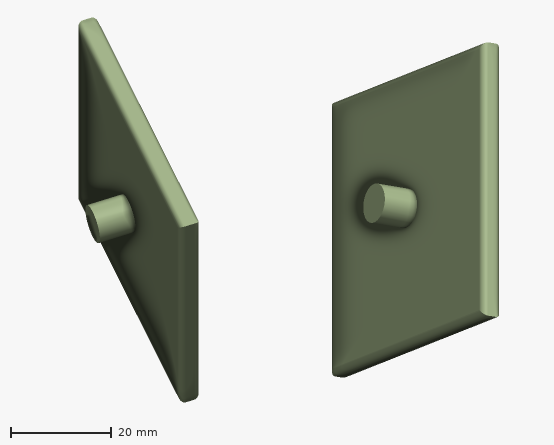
import cadquery as cq

plate_side = 56.29
plate_thickness = 4.4
edge_radius = 1.27

overall_depth = 12.02
pin_diameter = 7.94
pin_length = overall_depth - plate_thickness


def make_plate():
    """Square plate with the rims of both its large faces rounded."""
    plate = cq.Workplane("XY").box(
        plate_side, plate_thickness, plate_side, centered=(True, False, True)
    )
    return plate.faces("<Y or >Y").edges().fillet(edge_radius)


def make_pin():
    """Plain cylinder running from the front face toward -Y."""
    return cq.Workplane("XZ").circle(pin_diameter / 2).extrude(pin_length)


result = make_plate().union(make_pin())